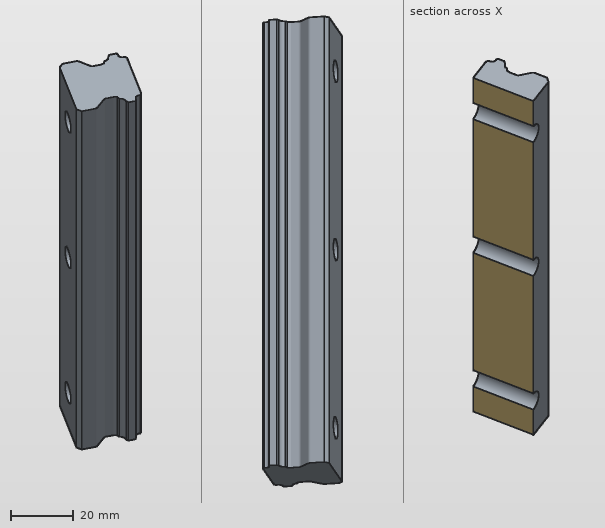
import cadquery as cq
import math

length = 150.0
width = 23.0
depth = 22.0
half_width = width / 2

base_chamfer = 1.4
foot_flank_end = 5.8
round_radius = 1.2
neck_half_width = 7.8
neck_end = 13.0

relief_edge = (8.1, 14.1)
lower_track_inner = (9.0, 14.5)
lower_track_outer = (10.8, 16.4)
head_flank_start = 17.0
head_flank_end = 19.4
upper_track_outer = (10.8, 19.6)
upper_track_inner = (9.3, 21.5)
top_chamfer = 0.8
lower_track_radius = 2.1
upper_track_radius = 1.4

hole_diameter = 7.0
hole_pitch = 60.0
hole_count = 3

slope_angle = math.radians(45)
slope_run = half_width - neck_half_width
round_rise = round_radius * math.sin(slope_angle)
round_setback = round_radius * (1 - math.cos(slope_angle))
mid_rise = round_radius * math.sin(slope_angle / 2)
mid_setback = round_radius * (1 - math.cos(slope_angle / 2))
neck_start = foot_flank_end + 2 * round_rise + slope_run - 2 * round_setback


def make_half_rail():
    """Extrude the +X half of the rail section along Z."""
    return (
        cq.Workplane("XY")
        .moveTo(0, 0)
        .lineTo(half_width - base_chamfer, 0)
        .lineTo(half_width, base_chamfer)
        .lineTo(half_width, foot_flank_end)
        .threePointArc(
            (half_width - mid_setback, foot_flank_end + mid_rise),
            (half_width - round_setback, foot_flank_end + round_rise),
        )
        .lineTo(neck_half_width + round_setback, neck_start - round_rise)
        .threePointArc(
            (neck_half_width + mid_setback, neck_start - mid_rise),
            (neck_half_width, neck_start),
        )
        .lineTo(neck_half_width, neck_end)
        .lineTo(*relief_edge)
        .lineTo(*lower_track_inner)
        .radiusArc(lower_track_outer, lower_track_radius)
        .lineTo(half_width, head_flank_start)
        .lineTo(half_width, head_flank_end)
        .lineTo(*upper_track_outer)
        .radiusArc(upper_track_inner, upper_track_radius)
        .lineTo(upper_track_inner[0] - top_chamfer, depth)
        .lineTo(0, depth)
        .close()
        .extrude(length)
    )


def make_holes():
    """Row of plain through holes along Y, centred on the rail length."""
    return (
        cq.Workplane("XZ", origin=(0, 0, length / 2))
        .rarray(1.5, hole_pitch, 1, hole_count)
        .circle(hole_diameter / 2)
        .extrude(-depth)
    )


half_rail = make_half_rail()
rail = half_rail.union(half_rail.mirror("YZ")).clean()
result = rail.cut(make_holes())